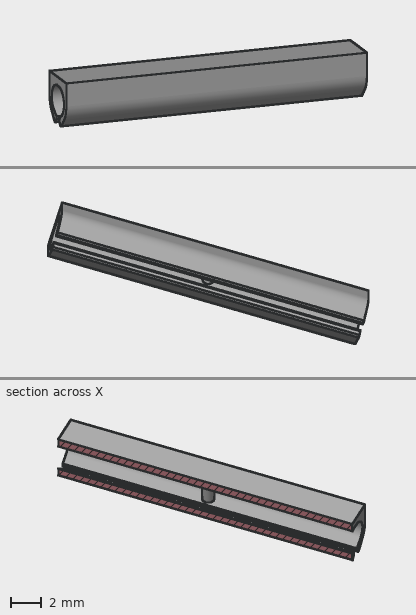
import cadquery as cq
import math

width = 3.2
height = 3.2
length = 21.0
half_width = width / 2
top_z = height / 2
bottom_z = -height / 2

wall = 0.45
arc_center_x = 0.15
outer_radius = half_width - arc_center_x
bore_radius = outer_radius - wall
ceiling_z = bore_radius

outer_lip_slope = 46
inner_lip_slope = 35
slot_half_width = 0.25

lip_end_height = 0.26
lip_end_width = lip_end_height * math.tan(math.radians(inner_lip_slope))

pin_diameter = 0.8
pin_bottom_z = -0.3
pin_root_depth = 0.2


def on_side_arc(radius, angle):
    """XZ point on an arc of the +X side, at an angle in degrees from +X."""
    radians = math.radians(angle)
    return (arc_center_x + radius * math.cos(radians), radius * math.sin(radians))


def mirrored(point):
    """The same XZ point on the -X side."""
    return (-point[0], point[1])


def make_clip():
    """Flat-topped C section, extruded along Y and centred on the origin."""
    outer_end_angle = outer_lip_slope - 90
    outer_mid = on_side_arc(outer_radius, outer_end_angle / 2)
    outer_end = on_side_arc(outer_radius, outer_end_angle)
    heel_x = outer_end[0] - (outer_end[1] - bottom_z) / math.tan(math.radians(outer_lip_slope))
    heel = (heel_x, bottom_z)

    bore_end = on_side_arc(bore_radius, inner_lip_slope - 90)
    bore_mid = on_side_arc(bore_radius, 0)
    ceiling_end = (arc_center_x, ceiling_z)
    lip_drop = (bore_end[0] - slot_half_width) * math.tan(math.radians(inner_lip_slope))
    lip_tip = (slot_half_width, bore_end[1] - lip_drop)

    lip_end_bottom = (slot_half_width + lip_end_width, bottom_z)
    lip_end_top = (slot_half_width, bottom_z + lip_end_height)

    profile = (
        cq.Workplane("XZ")
        .moveTo(-half_width, top_z)
        .lineTo(half_width, top_z)
        .lineTo(half_width, 0)
        .threePointArc(outer_mid, outer_end)
        .lineTo(*heel)
        .lineTo(*lip_end_bottom)
        .lineTo(*lip_end_top)
        .lineTo(*lip_tip)
        .lineTo(*bore_end)
        .threePointArc(bore_mid, ceiling_end)
        .lineTo(*mirrored(ceiling_end))
        .threePointArc(mirrored(bore_mid), mirrored(bore_end))
        .lineTo(*mirrored(lip_tip))
        .lineTo(*mirrored(lip_end_top))
        .lineTo(*mirrored(lip_end_bottom))
        .lineTo(*mirrored(heel))
        .lineTo(*mirrored(outer_end))
        .threePointArc(mirrored(outer_mid), (-half_width, 0))
        .close()
    )
    return profile.extrude(length / 2, both=True)


def make_pin():
    """Round pin reaching down from the bore ceiling."""
    pin_height = ceiling_z + pin_root_depth - pin_bottom_z
    return (
        cq.Workplane("XY", origin=(0, 0, pin_bottom_z))
        .circle(pin_diameter / 2)
        .extrude(pin_height)
    )


result = make_clip().union(make_pin())